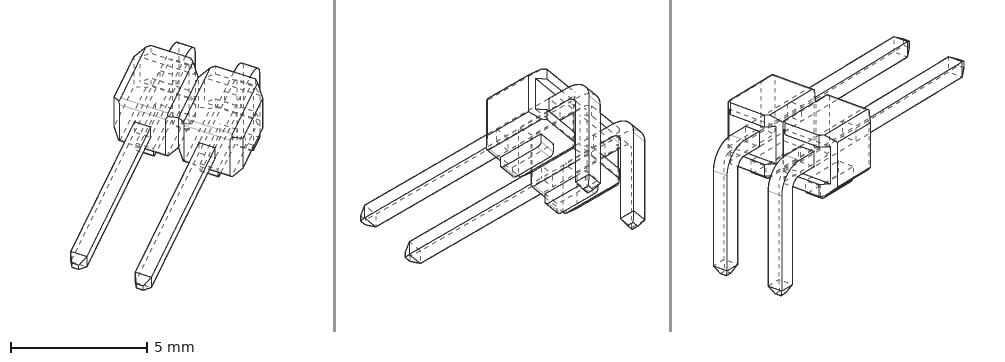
import cadquery as cq
import math


pin_count = 2
overall_width = 5.09
pitch = overall_width / pin_count
pin_positions = [(i - (pin_count - 1) / 2) * pitch for i in range(pin_count)]

pin_size = 0.64
bend_inner_radius = 0.4
pin_length = 11.11
leg_drop = 5.02
contact_tip_length = 0.35
leg_tip_length = 0.34
tip_size = 0.27
back_y = pin_size / 2
contact_end_y = back_y - pin_length

block_height = 2.54
block_depth = 2.81
rear_setback = 1.62
long_edge_chamfer = 0.34
front_chamfer = 0.36
rear_chamfer = 0.48
front_edge_radius = 0.18
rear_y = back_y - rear_setback
front_y = rear_y - block_depth
axis_z = block_height / 2

channel_height = 1.55
channel_depth = 0.3

foot_width = 0.7
foot_length = 1.95
foot_height = 0.57
foot_front_setback = 0.2
foot_edge_radius = 0.17


def make_block():
    """One block centred on X = 0: an octagon along Y crossed with an octagon along Z."""
    half_width = pitch / 2
    along_y = (
        cq.Workplane("XY")
        .box(pitch, block_depth, block_height, centered=(True, False, False))
        .translate((0, front_y, 0))
        .edges("|Y")
        .chamfer(long_edge_chamfer)
    )
    along_z = (
        cq.Workplane("XY")
        .moveTo(-half_width + front_chamfer, front_y)
        .lineTo(half_width - front_chamfer, front_y)
        .lineTo(half_width, front_y + front_chamfer)
        .lineTo(half_width, rear_y - rear_chamfer)
        .lineTo(half_width - rear_chamfer, rear_y)
        .lineTo(-half_width + rear_chamfer, rear_y)
        .lineTo(-half_width, rear_y - rear_chamfer)
        .lineTo(-half_width, front_y + front_chamfer)
        .close()
        .extrude(block_height)
    )
    block = along_y.intersect(along_z)
    return block.faces("<Y").edges("|X").fillet(front_edge_radius)


def make_foot():
    """Standoff foot with rounded lower edges, centred on X = 0."""
    return (
        cq.Workplane("XY")
        .box(foot_width, foot_length, foot_height, centered=(True, False, False))
        .translate((0, front_y + foot_front_setback, -foot_height))
        .faces("<Z")
        .edges("|X")
        .fillet(foot_edge_radius)
    )


def make_tip(plane, length):
    """Tapered square end, from the full pin size at the plane's origin."""
    return (
        cq.Workplane(plane)
        .rect(pin_size, pin_size)
        .workplane(offset=length)
        .rect(tip_size, tip_size)
        .loft(ruled=True)
    )


def make_pin():
    """Square pin centred on X = 0: horizontal contact, bend and vertical leg."""
    bend_radius = bend_inner_radius + pin_size / 2
    contact_start = cq.Vector(0, contact_end_y + contact_tip_length, axis_z)
    leg_end = cq.Vector(0, 0, axis_z - leg_drop + leg_tip_length)
    bend_offset = bend_radius * (1 - math.sqrt(0.5))

    path = (
        cq.Workplane("YZ")
        .moveTo(contact_start.y, contact_start.z)
        .lineTo(-bend_radius, axis_z)
        .threePointArc((-bend_offset, axis_z - bend_offset), (0, axis_z - bend_radius))
        .lineTo(0, leg_end.z)
    )
    contact_plane = cq.Plane(origin=contact_start, xDir=(1, 0, 0), normal=(0, -1, 0))
    leg_plane = cq.Plane(origin=leg_end, xDir=(1, 0, 0), normal=(0, 0, -1))
    shank = cq.Workplane(contact_plane).rect(pin_size, pin_size).sweep(path)
    contact_tip = make_tip(contact_plane, contact_tip_length)
    leg_tip = make_tip(leg_plane, leg_tip_length)
    return shank.union(contact_tip).union(leg_tip)


def make_housing(pins):
    """Row of joined blocks with feet, a rear channel and a hole for each pin."""
    housing = cq.Workplane("XY")
    for x in pin_positions:
        housing = housing.union(make_block().translate((x, 0, 0)))
        housing = housing.union(make_foot().translate((x, 0, 0)))

    channel = (
        cq.Workplane("XY")
        .box(overall_width, channel_depth, channel_height)
        .translate((0, rear_y - channel_depth / 2, axis_z))
    )
    housing = housing.cut(channel)
    for pin in pins:
        housing = housing.cut(pin)
    return housing


pins = [make_pin().translate((x, 0, 0)) for x in pin_positions]
housing = make_housing(pins)

result = cq.Compound.makeCompound([housing.solids().val(), *[pin.solids().val() for pin in pins]])